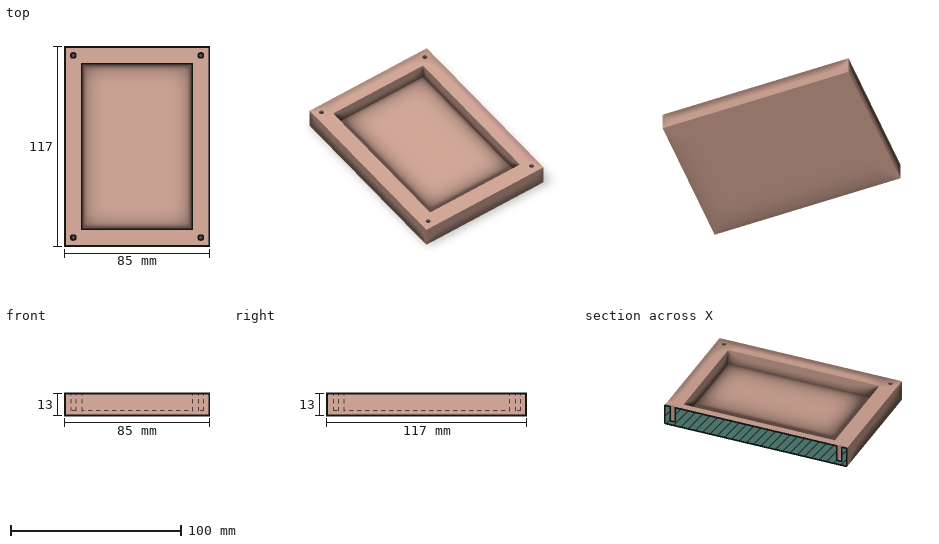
import cadquery as cq

width = 85.0
length = 117.0
height = 13.0

rim = 10.0
opening_width = width - 2 * rim
opening_length = length - 2 * rim
panel_thickness = 3.0

hole_diameter = 2.9
hole_inset = 5.0
hole_depth = height - panel_thickness


def make_frame():
    """Rectangular frame with a through opening and a blind hole at each corner."""
    frame = cq.Workplane("XY").box(width, length, height, centered=(True, True, False))
    opening = cq.Workplane("XY").box(
        opening_width, opening_length, height, centered=(True, True, False)
    )
    return (
        frame.cut(opening)
        .faces(">Z")
        .workplane(origin=(0, 0, height))
        .rect(width - 2 * hole_inset, length - 2 * hole_inset, forConstruction=True)
        .vertices()
        .hole(hole_diameter, hole_depth)
    )


def make_panel():
    """Flat panel filling the opening, flush with the underside of the frame."""
    return cq.Workplane("XY").box(
        opening_width, opening_length, panel_thickness, centered=(True, True, False)
    )


frame = make_frame()
panel = make_panel()

result = cq.Compound.makeCompound([frame.val(), panel.val()])